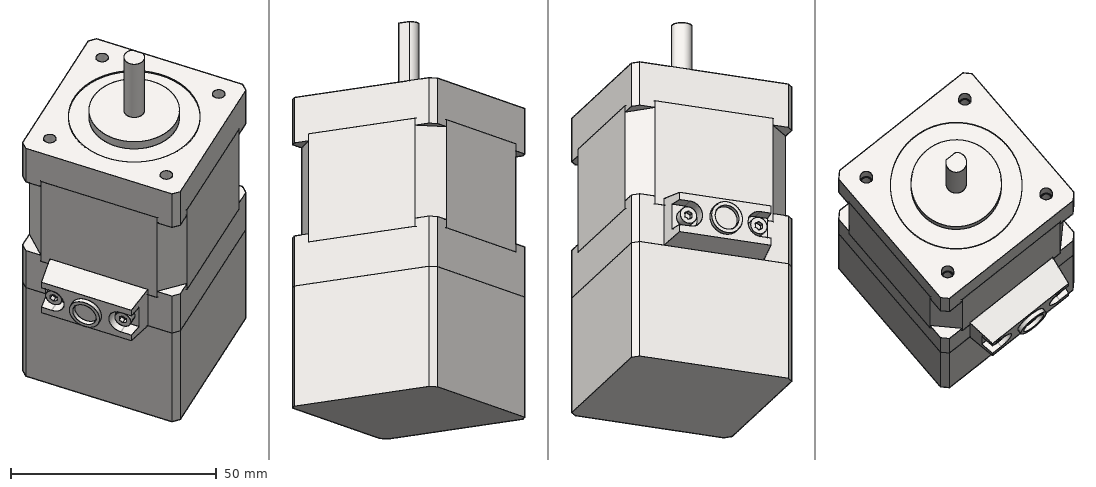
import cadquery as cq
import math


body_width = 42.0
corner_chamfer = 1.6

total_height = 97.0
rear_box_top = 30.0
stator_bottom = 40.45
rear_cap_top = 42.5
front_cap_bottom = 65.7
stator_top = 67.4
front_cap_top = 77.0

stator_flat_width = 30.8
stator_chamfer = (body_width - stator_flat_width) / 2

recess_diameter = 32.0
recess_depth = 0.4
boss_diameter = 22.0
boss_height = 2.0
mount_hole_spacing = 31.0
mount_hole_diameter = 3.0
mount_hole_depth = 4.5
pilot_hole_diameter = 2.5

shaft_diameter = 5.0
shaft_flat_cut = 0.5
shaft_round_length = 3.0
boss_top = front_cap_top + boss_height
shaft_flat_start = boss_top + shaft_round_length

connector_width = 26.1
connector_front_width = 24.0
connector_height = 12.2
connector_front_height = 10.3
connector_depth = 7.4
connector_z = rear_box_top + connector_height / 2
connector_base_y = -body_width / 2
connector_front_y = connector_base_y - connector_depth

socket_diameter = 8.05
socket_length = 1.2
socket_bore_diameter = 6.2
socket_bore_depth = 1.2

screw_offset = 9.2
slot_width = 6.5
slot_depth = 3.5
slot_floor_y = connector_front_y + slot_depth
screw_head_diameter = 4.3
screw_head_height = 2.4
screw_front_y = slot_floor_y - screw_head_height
hex_across_flats = 1.8
hex_corner_diameter = hex_across_flats / math.cos(math.pi / 6)
hex_depth = 1.3


def chamfered_block(bottom, top, chamfer):
    """Square block of the body width with chamfered vertical edges."""
    block = cq.Workplane("XY", origin=(0, 0, bottom)).rect(body_width, body_width).extrude(top - bottom)
    return block.edges("|Z").chamfer(chamfer)


def vertical_cylinder(diameter, bottom, top):
    return cq.Workplane("XY", origin=(0, 0, bottom)).circle(diameter / 2).extrude(top - bottom)


def connector_plane(x, y):
    """Workplane facing -Y at connector height; extrusions run toward -Y."""
    return cq.Workplane("XZ", origin=(x, y, connector_z))


def make_stator():
    return chamfered_block(stator_bottom, stator_top, stator_chamfer)


def make_shaft():
    """Round shaft seated on the stator, with a flat on its +Y side."""
    shaft = vertical_cylinder(shaft_diameter, stator_top, total_height)
    flat_y = shaft_diameter / 2 - shaft_flat_cut
    flat = (
        cq.Workplane("XY", origin=(0, flat_y, shaft_flat_start))
        .box(shaft_diameter, shaft_diameter, total_height - shaft_flat_start, centered=(True, False, False))
    )
    return shaft.cut(flat)


def make_mount_holes(diameter, bottom):
    """Four cylinders on the mounting square, from the top of the front cap down to the given height."""
    return (
        cq.Workplane("XY", origin=(0, 0, bottom))
        .rect(mount_hole_spacing, mount_hole_spacing, forConstruction=True)
        .vertices()
        .circle(diameter / 2)
        .extrude(front_cap_top - bottom)
    )


def make_front_cap():
    """Flange whose corners hang down over the stator chamfers."""
    cap = chamfered_block(front_cap_bottom, front_cap_top, corner_chamfer)
    recess_floor = front_cap_top - recess_depth
    cap = cap.cut(vertical_cylinder(recess_diameter, recess_floor, front_cap_top))
    cap = cap.union(vertical_cylinder(boss_diameter, recess_floor, boss_top))
    mount_holes = make_mount_holes(mount_hole_diameter, front_cap_top - mount_hole_depth)
    pilot_holes = make_mount_holes(pilot_hole_diameter, stator_top)
    shaft_hole = vertical_cylinder(shaft_diameter, stator_top, boss_top)
    return cap.cut(mount_holes).cut(pilot_holes).cut(shaft_hole).cut(make_stator())


def make_screw_slot(side):
    """Slot with a round inner end, open toward the connector end on the given side (-1 or 1)."""
    round_end = connector_plane(side * screw_offset, slot_floor_y).circle(slot_width / 2).extrude(slot_depth)
    open_length = connector_width / 2 - screw_offset
    channel = (
        connector_plane(side * (screw_offset + open_length / 2), slot_floor_y)
        .rect(open_length, slot_width)
        .extrude(slot_depth)
    )
    return round_end.union(channel)


def make_screw_head(side):
    """Cylindrical head with a hexagon socket."""
    x = side * screw_offset
    head = connector_plane(x, slot_floor_y).circle(screw_head_diameter / 2).extrude(screw_head_height)
    hexagon = (
        connector_plane(x, screw_front_y)
        .transformed(rotate=(0, 0, 90))
        .polygon(6, hex_corner_diameter)
        .extrude(-hex_depth)
    )
    return head.cut(hexagon)


def make_connector():
    """Tapered connector block with a round socket between two screw heads."""
    connector = (
        connector_plane(0, connector_base_y)
        .rect(connector_width, connector_height)
        .workplane(offset=connector_depth)
        .rect(connector_front_width, connector_front_height)
        .loft(ruled=True)
    )
    for side in (-1, 1):
        connector = connector.cut(make_screw_slot(side)).union(make_screw_head(side))
    socket = connector_plane(0, connector_front_y).circle(socket_diameter / 2).extrude(socket_length)
    socket_front_y = connector_front_y - socket_length
    bore = connector_plane(0, socket_front_y).circle(socket_bore_diameter / 2).extrude(-socket_bore_depth)
    return connector.union(socket).cut(bore)


def make_rear_cap():
    """Cap whose corners rise over the stator chamfers, with the connector on its -Y face."""
    cap = chamfered_block(rear_box_top, rear_cap_top, corner_chamfer).cut(make_stator())
    return cap.union(make_connector())


rear_box = chamfered_block(0, rear_box_top, corner_chamfer)
rear_cap = make_rear_cap()
stator = make_stator()
front_cap = make_front_cap()
shaft = make_shaft()

result = cq.Compound.makeCompound(
    [rear_box.val(), rear_cap.val(), stator.val(), front_cap.val(), shaft.val()]
)